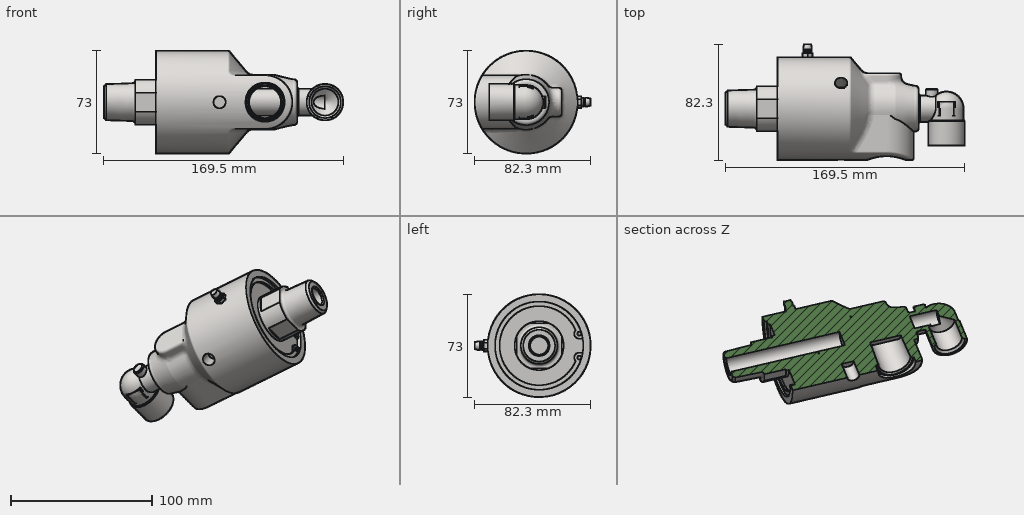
import cadquery as cq
import math


bore_diameter = 12.7
bore_mouth_diameter = 14.7
bore_end = 84.8
nipple_tip_diameter = 26.0
nipple_base_diameter = 27.1
nipple_chamfer = 1.7
nipple_length = 20.3
grip_start = 22.0
grip_flats = 32.0
grip_end = 38.0
collar_diameter = 34.8

body_start = 36.8
body_end = 88.5
body_radius = 73.0 / 2
neck_start = 102.7
neck_radius = 19.5
neck_end = 120.5
neck_fillet = 5.1
head_start = 134.0
head_end = 137.0
head_radius = 16.3
head_rounding = 2.5

recess_diameter = 62.5
ring_inner_diameter = 56.1
ring_depth = 1.7
recess_depth = 3.2
lug_center_radius = 29.7
lug_radius = 3.5
lug_hole_diameter = 2.7
lug_offset = 8.5
ring_half_gap = 5.0

port_x = 114.1
boss_center = 114.5
port_boss_radius = 19.0
port_boss_rounding = 1.5
port_mouth_diameter = 27.8
port_shoulder = 32.0
port_chamfer_diameter = 26.0
port_thread_diameter = 23.5
port_core_diameter = 22.5
port_thread_end = 13.5
tube_diameter = 19.0
blank_boss_radius = 10.2
blank_boss_height = 25.3
blank_boss_rounding = 2.0
boss_inner_end = 76.3
blank_foot_min = 15.3
tolerance = 0.02

radial_hole_diameter = 8.6
radial_hole_depth = 13.5
radial_hole_x = 81.9
radial_hole_count = 3

grease_x = 58.1
grease_flats = 7.3
grease_hex_top = 39.2
grease_shoulder = 40.3
grease_waist = 41.4
grease_bulge_start = 42.0
grease_bulge_end = 43.4
grease_tip = 45.8
grease_tip_radius = 2.5
grease_bulge_diameter = 6.3
grease_waist_diameter = 5.5
grease_root_depth = 1.7

socket_diameter = 26.0
elbow_x = 169.5 - socket_diameter / 2
elbow_radius = 12.2
elbow_stub_diameter = 19.0
stub_foot = 0.8
socket_top = -8.8
socket_end = -26.3
socket_bevel = socket_diameter / 2 - elbow_radius
socket_bore_diameter = 19.0
socket_mouth_diameter = 22.5
socket_bore_end = -6.8
socket_bore_tip = 0.0
elbow_bore_diameter = 11.5
elbow_bore_start = head_end
pad_length = 12.2
pad_width = 9.8
pad_height = 11.4
pad_chamfer = 0.8
plug_x = 146.1
plug_diameter = 8.6
plug_top = 14.0
plug_chamfer = 0.8

cut_margin = 1.7


def turned_x(points):
    """Solid turned about the X axis from (x, radius) points."""
    return cq.Workplane("XY").polyline(points).close().revolve(360, (0, 0, 0), (1, 0, 0))


def turned_y(points, x):
    """Solid turned about the line parallel to Y at the given x, from (radius, y) points."""
    profile = cq.Workplane("XY", origin=(x, 0, 0)).polyline(points).close()
    return profile.revolve(360, (0, 0, 0), (0, 1, 0))


def cylinder_x(diameter, start, end):
    """Cylinder on the X axis between two X positions."""
    return cq.Workplane("YZ", origin=(start, 0, 0)).circle(diameter / 2).extrude(end - start)


def obround_boss(radius, height):
    """Boss along +Y, reaching from inside the body to a half-round end toward +X."""
    length = boss_center - boss_inner_end
    straight = cq.Workplane("XZ", origin=(boss_center - length / 2, 0, 0)).rect(length, 2 * radius)
    round_end = cq.Workplane("XZ", origin=(boss_center, 0, 0)).circle(radius)
    return straight.extrude(-height).union(round_end.extrude(-height))


def edges_where(solid, test):
    """Workplane holding the edges whose type, centre, start and end pass the test."""
    chosen = [
        edge for edge in solid.edges().vals()
        if test(edge.geomType(), edge.Center(), edge.startPoint(), edge.endPoint())
    ]
    return solid.newObject(chosen)


def is_inner_corner(kind, center, start, end):
    """Corners where cone, neck and the two bosses meet."""
    flank_on_cone = kind == "HYPERBOLA" and abs(start.z - end.z) < tolerance
    neck_on_cone = kind == "CIRCLE" and max(abs(p.x - neck_start) for p in (center, start, end)) < tolerance
    beside_blank_boss = neck_start < center.x < boss_center + blank_boss_radius and abs(center.z) > tolerance
    blank_on_neck = beside_blank_boss and blank_foot_min < center.y < neck_radius
    return flank_on_cone or neck_on_cone or blank_on_neck


def is_port_rim(kind, center, start, end):
    """Edges between the port boss flank and the body cylinder."""
    rim_top = -math.sqrt(body_radius**2 - port_boss_radius**2)
    return center.x > neck_start and max(start.y, end.y) < rim_top + tolerance


def make_housing():
    """Body, cone, neck and head with both bosses blended in."""
    cone_slope = (body_radius - neck_radius) / (neck_start - body_end)
    cone_base_radius = body_radius + cone_slope * (body_end - body_start)
    housing = turned_x([
        (body_start, 0), (body_start, cone_base_radius),
        (neck_start, neck_radius), (neck_end, neck_radius),
        (head_start, head_radius), (head_end, head_radius), (head_end, 0),
    ])
    housing = housing.faces(">X").edges().fillet(head_rounding)
    housing = housing.union(obround_boss(port_boss_radius, 2 * body_radius).mirror("XZ"))
    blank_boss = obround_boss(blank_boss_radius, blank_boss_height)
    housing = housing.union(blank_boss.faces(">Y").edges().fillet(blank_boss_rounding))
    housing = edges_where(housing, is_inner_corner).fillet(neck_fillet)
    housing = housing.intersect(cylinder_x(2 * body_radius, body_start, elbow_x))
    return edges_where(housing, is_port_rim).fillet(port_boss_rounding)


def make_side_port():
    """Threaded port with a recessed mouth, entering from -Y and leaving a tube across its floor."""
    mouth_radius = port_mouth_diameter / 2
    chamfer_radius = port_chamfer_diameter / 2
    thread_radius = port_thread_diameter / 2
    core_radius = port_core_diameter / 2
    outside = -body_radius - cut_margin
    thread_start = -port_shoulder + chamfer_radius - thread_radius
    port = turned_y([
        (0, 0), (0, outside), (mouth_radius, outside), (mouth_radius, -port_shoulder),
        (chamfer_radius, -port_shoulder), (thread_radius, thread_start), (core_radius, -port_thread_end),
        (core_radius, 0),
    ], port_x)
    return port.cut(cylinder_x(tube_diameter, body_end, head_start))


def make_radial_hole():
    """Blind hole entering the body from -Y."""
    hole = cq.Workplane("XZ", origin=(radial_hole_x, -body_radius + radial_hole_depth, 0))
    return hole.circle(radial_hole_diameter / 2).extrude(radial_hole_depth + cut_margin)


def make_ring():
    """Retaining ring, open toward -Y, with an eyelet lug at each end."""
    def plate():
        return cq.Workplane("YZ", origin=(body_start + ring_depth, 0, 0))

    thickness = recess_depth - ring_depth
    outer_radius = recess_diameter / 2
    ring = plate().circle(outer_radius).circle(ring_inner_diameter / 2).extrude(thickness)
    lug_y = -math.sqrt(lug_center_radius**2 - lug_offset**2)
    lug_points = [(lug_y, lug_offset), (lug_y, -lug_offset)]
    ring = ring.union(plate().pushPoints(lug_points).circle(lug_radius).extrude(thickness))
    gap = plate().center(-outer_radius, 0).rect(outer_radius, 2 * ring_half_gap).extrude(thickness)
    ring = ring.cut(gap)
    ring = ring.cut(plate().pushPoints(lug_points).circle(lug_hole_diameter / 2).extrude(thickness))
    return ring.intersect(cylinder_x(recess_diameter, body_start, body_start + recess_depth))


def make_rotor():
    """Nipple, wrench flats and round collar on the rotor axis."""
    tip_radius = nipple_tip_diameter / 2
    base_radius = nipple_base_diameter / 2
    undercut = grip_start - nipple_length
    nipple = (
        cq.Workplane("XY").moveTo(0, 0)
        .lineTo(0, tip_radius - nipple_chamfer)
        .lineTo(nipple_chamfer, tip_radius)
        .lineTo(nipple_length, base_radius)
        .radiusArc((grip_start, base_radius + undercut), -undercut)
        .lineTo(grip_start, 0)
        .close()
        .revolve(360, (0, 0, 0), (1, 0, 0))
    )
    length = grip_end - grip_start
    round_part = cylinder_x(collar_diameter, grip_start, grip_end)
    square = cq.Workplane("YZ", origin=(grip_start, 0, 0)).rect(grip_flats, grip_flats).extrude(length)
    grip = round_part.intersect(square)
    collar = cylinder_x(collar_diameter, grip_end, body_start + recess_depth)
    return nipple.union(grip).union(collar)


def make_rotor_bore():
    """Blind bore from the nipple's end, with a chamfered mouth."""
    bore_radius = bore_diameter / 2
    mouth_radius = bore_mouth_diameter / 2
    return turned_x([
        (0, 0), (0, mouth_radius), (mouth_radius - bore_radius, bore_radius),
        (bore_end, bore_radius), (bore_end, 0),
    ])


def make_grease_nipple():
    """Hexagon, waist and bulged head of the grease nipple."""
    root = body_radius - grease_root_depth
    hexagon = cq.Workplane("XZ", origin=(grease_x, root, 0)).transformed(rotate=(0, 0, 30))
    hexagon = hexagon.polygon(6, grease_flats / math.cos(math.pi / 6)).extrude(root - grease_hex_top)
    bulge_radius = grease_bulge_diameter / 2
    waist_radius = grease_waist_diameter / 2
    head = turned_y([
        (0, root), (bulge_radius, root), (bulge_radius, grease_shoulder), (waist_radius, grease_waist),
        (bulge_radius, grease_bulge_start), (bulge_radius, grease_bulge_end),
        (grease_tip_radius, grease_tip), (0, grease_tip),
    ], grease_x)
    return hexagon.union(head)


def make_elbow():
    """Stub, ball, socket, wrench pads and plug of the elbow."""
    stub_radius = elbow_stub_diameter / 2
    stub = turned_x([
        (head_end, 0), (head_end, stub_radius + stub_foot), (head_end + stub_foot, stub_radius),
        (elbow_x, stub_radius), (elbow_x, 0),
    ])
    socket_radius = socket_diameter / 2
    socket = turned_y([
        (0, 0), (elbow_radius, 0), (elbow_radius, socket_top + socket_bevel), (socket_radius, socket_top),
        (socket_radius, socket_end), (0, socket_end),
    ], elbow_x)
    ball = cq.Workplane("XY").sphere(elbow_radius).translate((elbow_x, 0, 0))
    pads = cq.Workplane("XY").box(pad_length, pad_width, 2 * pad_height)
    pads = pads.edges("|Y").chamfer(pad_chamfer).translate((elbow_x, 0, 0))
    plug = cq.Workplane("XZ", origin=(plug_x, 0, 0)).circle(plug_diameter / 2).extrude(-plug_top)
    plug = plug.faces(">Y").chamfer(plug_chamfer)
    return stub.union(socket).union(ball).union(pads).union(plug)


def make_elbow_bore():
    """Socket bore with a countersunk mouth and drill-point end, and the cross bore in the stub."""
    bore_radius = socket_bore_diameter / 2
    mouth_radius = socket_mouth_diameter / 2
    bore_start = socket_end + mouth_radius - bore_radius
    socket_bore = turned_y([
        (0, socket_end), (mouth_radius, socket_end), (bore_radius, bore_start),
        (bore_radius, socket_bore_end), (0, socket_bore_tip),
    ], elbow_x)
    return socket_bore.union(cylinder_x(elbow_bore_diameter, elbow_bore_start, elbow_x))


part = make_housing()
part = part.cut(cylinder_x(recess_diameter, body_start, body_start + recess_depth).cut(make_ring()))
part = part.cut(make_side_port())
for index in range(radial_hole_count):
    part = part.cut(make_radial_hole().rotate((0, 0, 0), (1, 0, 0), index * 360 / radial_hole_count))

part = part.union(make_rotor()).union(make_grease_nipple()).union(make_elbow())

result = part.cut(make_rotor_bore()).cut(make_elbow_bore())